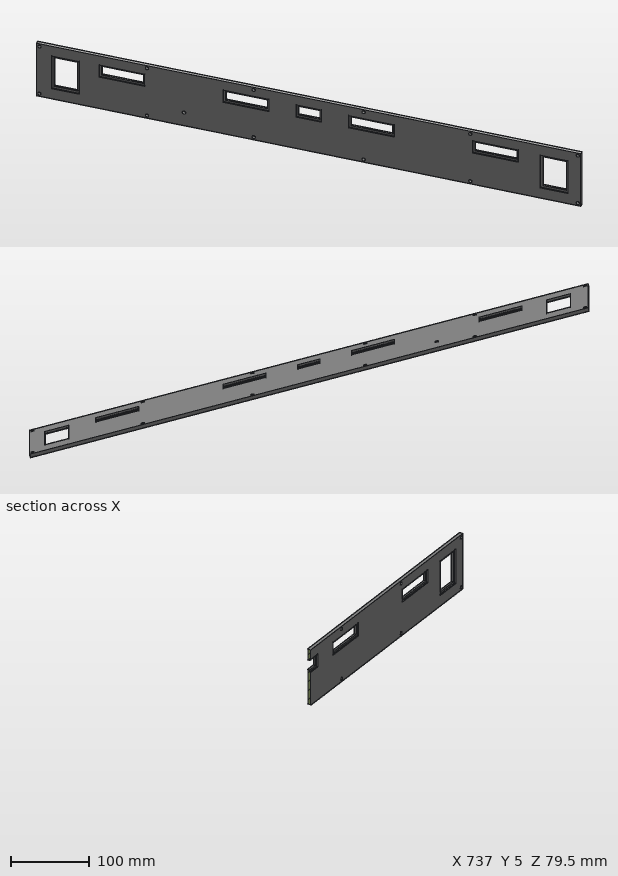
import cadquery as cq

length = 737.0
thickness = 5.0
height = 79.5
front_y = -thickness / 2

recess_depth = 2.0

tall_width = 37.5
tall_height = 49.5
tall_ledge = 3.0
tall_z = 0.4
tall_left_x = -329.5
tall_right_x = 332.5

low_height = 18.5
low_ledge = 2.6
low_z = 17.0
slot_width = 62.0
slot_inner_x = 85.0
slot_outer_x = 253.0
middle_width = 35.0

fixing_diameter = 4.2
fixing_edge_distance = 4.05
fixing_inner_x = 74.5
fixing_middle_x = 219.0
fixing_end_x = length / 2 - fixing_edge_distance
fixing_z = height / 2 - fixing_edge_distance

single_diameter = 4.5
single_x = -169.0
single_z = -20.0


def block(x, z, size_x, size_z, depth):
    """Rectangular cutter reaching the given depth behind the front face."""
    return cq.Workplane("XY").box(size_x, depth, size_z).translate((x, front_y + depth / 2, z))


def window(x, z, size_x, size_z, ledge):
    """Stepped cutter: front recess plus the smaller opening right through."""
    recess = block(x, z, size_x, size_z, recess_depth)
    opening = block(x, z, size_x - 2 * ledge, size_z - 2 * ledge, thickness)
    return recess.union(opening)


def hole_cutters(points, diameter):
    """Pins that pass through the whole thickness at the given (x, z) points."""
    return (
        cq.Workplane("XZ")
        .pushPoints(points)
        .circle(diameter / 2)
        .extrude(thickness, both=True)
    )


panel = cq.Workplane("XY").box(length, thickness, height)

for x in (tall_left_x, tall_right_x):
    panel = panel.cut(window(x, tall_z, tall_width, tall_height, tall_ledge))

for x in (-slot_outer_x, -slot_inner_x, slot_inner_x, slot_outer_x):
    panel = panel.cut(window(x, low_z, slot_width, low_height, low_ledge))
panel = panel.cut(window(0, low_z, middle_width, low_height, low_ledge))

fixing_points = [
    (x_side * x, z_side * fixing_z)
    for x in (fixing_inner_x, fixing_middle_x, fixing_end_x)
    for x_side in (-1, 1)
    for z_side in (-1, 1)
]
panel = panel.cut(hole_cutters(fixing_points, fixing_diameter))
panel = panel.cut(hole_cutters([(single_x, single_z)], single_diameter))

result = panel